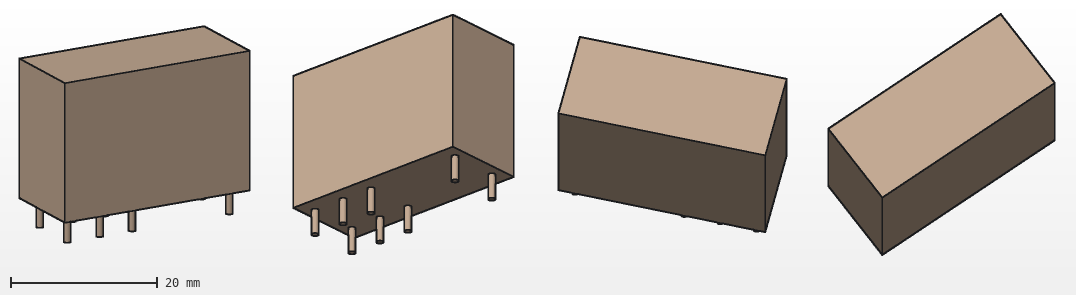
import cadquery as cq

case_width = 12.6
case_length = 29.0
case_height = 20.0

grid = 2.54
pin_diameter = 1.0
pin_length = 3.7
row_spacing = 7.6
pin_rows_x = [-row_spacing / 2, row_spacing / 2]
pin_stations_y = [-5 * grid, -3 * grid, -grid, 5 * grid]


def make_case():
    """Plain rectangular case standing on the XY plane."""
    return cq.Workplane("XY").box(case_width, case_length, case_height, centered=(True, True, False))


def make_pins():
    """Round pins hanging from the underside of the case."""
    pin_centres = [(x, y) for x in pin_rows_x for y in pin_stations_y]
    return cq.Workplane("XY").pushPoints(pin_centres).circle(pin_diameter / 2).extrude(-pin_length)


result = make_case().union(make_pins())